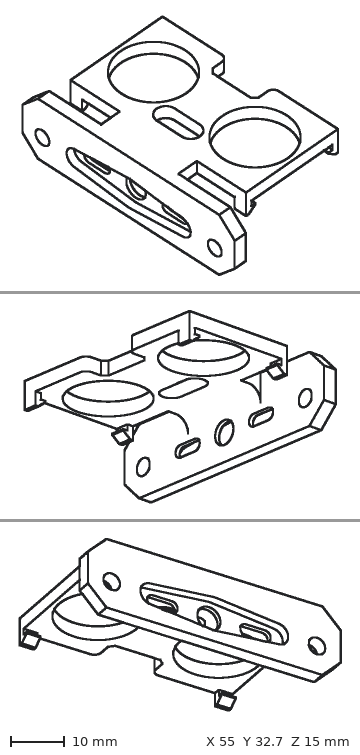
import cadquery as cq
import math

FLANGE_WIDTH = 55.0
FLANGE_HEIGHT = 15.0
THICKNESS = 3.0
FLANGE_CHAMFER = 4.0
HOLE_HEIGHT = 6.0
SCREW_HOLE_DIAMETER = 3.6
SCREW_HOLE_OFFSET = 22.35
CENTER_HOLE_DIAMETER = 5.0
HORN_SLOT_LENGTH = 6.6
HORN_SLOT_WIDTH = 2.55
HORN_SLOT_OFFSET = 10.1

RECESS_DEPTH = 2.0
RECESS_CENTER_RADIUS = 3.65
RECESS_END_RADIUS = 2.25
RECESS_HALF_LENGTH = 16.05

DEPTH = 32.7
PLATE_WIDTH = 45.5
PLATE_START = 8.0
SENSOR_HOLE_DIAMETER = 17.0
SENSOR_HOLE_OFFSET = 13.15
PLATE_SLOT_LENGTH = 11.15
PLATE_SLOT_WIDTH = 4.75
PLATE_SLOT_Y = 13.35
NOTCH_WIDTH = 11.8
NOTCH_DEPTH = 4.95
NOTCH_ROUND = 1.5
NOTCH_CHAMFER = 1.0

NECK_WIDTH = 20.0
NECK_FILLET = 3.0

HOOK_WIDTH = 3.0
HOOK_DROP = 5.9
HOOK_LEG = 1.45
HOOK_LIP_TOP = 4.3
HOOK_LIP_EDGE = 0.3
HOOK_REACH = 2.55
HOOK_FOOT = 0.75

plate_bottom = FLANGE_HEIGHT - THICKNESS
plate_length = DEPTH - PLATE_START
plate_middle = PLATE_START + plate_length / 2


def flange_sketch_plane():
    """Plane on the front face, x along X, y along Z, origin at hole height; normal is -Y."""
    return cq.Workplane("XZ", origin=(0, 0, HOLE_HEIGHT))


def make_flange():
    flange = cq.Workplane("XY").box(FLANGE_WIDTH, THICKNESS, FLANGE_HEIGHT, centered=(True, False, False))
    return flange.edges("|Y").chamfer(FLANGE_CHAMFER)


def make_recess():
    """Outline wrapping a large middle circle and two smaller end circles with tangent lines."""
    end_x = RECESS_HALF_LENGTH - RECESS_END_RADIUS
    tangent_sine = (RECESS_CENTER_RADIUS - RECESS_END_RADIUS) / end_x
    tangent_cosine = math.sqrt(1 - tangent_sine**2)
    mid_x = RECESS_CENTER_RADIUS * tangent_sine
    mid_z = RECESS_CENTER_RADIUS * tangent_cosine
    tip_x = end_x + RECESS_END_RADIUS * tangent_sine
    tip_z = RECESS_END_RADIUS * tangent_cosine
    return (
        flange_sketch_plane()
        .moveTo(-mid_x, mid_z)
        .threePointArc((0, RECESS_CENTER_RADIUS), (mid_x, mid_z))
        .lineTo(tip_x, tip_z)
        .threePointArc((RECESS_HALF_LENGTH, 0), (tip_x, -tip_z))
        .lineTo(mid_x, -mid_z)
        .threePointArc((0, -RECESS_CENTER_RADIUS), (-mid_x, -mid_z))
        .lineTo(-tip_x, -tip_z)
        .threePointArc((-RECESS_HALF_LENGTH, 0), (-tip_x, tip_z))
        .close()
        .extrude(-RECESS_DEPTH)
    )


def make_flange_holes():
    center = flange_sketch_plane().circle(CENTER_HOLE_DIAMETER / 2).extrude(-THICKNESS)
    screws = (
        flange_sketch_plane()
        .pushPoints([(-SCREW_HOLE_OFFSET, 0), (SCREW_HOLE_OFFSET, 0)])
        .circle(SCREW_HOLE_DIAMETER / 2)
        .extrude(-THICKNESS)
    )
    slots = (
        flange_sketch_plane()
        .pushPoints([(-HORN_SLOT_OFFSET, 0), (HORN_SLOT_OFFSET, 0)])
        .slot2D(HORN_SLOT_LENGTH, HORN_SLOT_WIDTH)
        .extrude(-THICKNESS)
    )
    return center.union(screws).union(slots)


def make_neck():
    """Bridge between flange and plate, with a concave fillet under its flange end."""
    arc_y = THICKNESS + NECK_FILLET
    arc_z = plate_bottom - NECK_FILLET
    arc_reach = NECK_FILLET * math.sqrt(0.5)
    return (
        cq.Workplane("YZ")
        .moveTo(THICKNESS, FLANGE_HEIGHT)
        .lineTo(PLATE_START, FLANGE_HEIGHT)
        .lineTo(PLATE_START, plate_bottom)
        .lineTo(arc_y, plate_bottom)
        .threePointArc((arc_y - arc_reach, arc_z + arc_reach), (THICKNESS, arc_z))
        .close()
        .extrude(NECK_WIDTH / 2, both=True)
    )


def make_plate():
    base = cq.Workplane("XY", origin=(0, 0, plate_bottom))
    plate = base.center(0, plate_middle).rect(PLATE_WIDTH, plate_length).extrude(THICKNESS)
    notch = base.center(0, DEPTH - NOTCH_DEPTH / 2).rect(NOTCH_WIDTH, NOTCH_DEPTH).extrude(THICKNESS)
    notch = notch.edges("|Z and <Y").chamfer(NOTCH_CHAMFER)
    plate = plate.cut(notch)
    mouth_corners = cq.selectors.BoxSelector(
        (-NOTCH_WIDTH / 2 - NOTCH_ROUND, DEPTH - NOTCH_ROUND, plate_bottom),
        (NOTCH_WIDTH / 2 + NOTCH_ROUND, DEPTH + NOTCH_ROUND, FLANGE_HEIGHT),
    )
    plate = plate.edges("|Z").edges(mouth_corners).fillet(NOTCH_ROUND)
    sensors = (
        base.pushPoints([(-SENSOR_HOLE_OFFSET, plate_middle), (SENSOR_HOLE_OFFSET, plate_middle)])
        .circle(SENSOR_HOLE_DIAMETER / 2)
        .extrude(THICKNESS)
    )
    slot = base.center(0, PLATE_SLOT_Y).slot2D(PLATE_SLOT_LENGTH, PLATE_SLOT_WIDTH).extrude(THICKNESS)
    return plate.cut(sensors).cut(slot)


def make_hooks():
    """Four inward-facing hooks, mirrored from the one at the -X, near-flange corner."""
    lip_top = FLANGE_HEIGHT - HOOK_LIP_TOP
    foot_z = FLANGE_HEIGHT - HOOK_DROP
    profile = [
        (PLATE_START, FLANGE_HEIGHT),
        (PLATE_START, foot_z),
        (PLATE_START + HOOK_FOOT, foot_z),
        (PLATE_START + HOOK_REACH, lip_top - HOOK_LIP_EDGE),
        (PLATE_START + HOOK_REACH, lip_top),
        (PLATE_START + HOOK_LEG, lip_top),
        (PLATE_START + HOOK_LEG, FLANGE_HEIGHT),
    ]
    hook = cq.Workplane("YZ", origin=(-PLATE_WIDTH / 2, 0, 0)).polyline(profile).close().extrude(HOOK_WIDTH)
    pair = hook.union(hook.mirror("XZ", (0, plate_middle, 0)))
    return pair.union(pair.mirror("YZ"))


flange = make_flange().cut(make_recess()).cut(make_flange_holes())
result = flange.union(make_neck()).union(make_plate()).union(make_hooks())